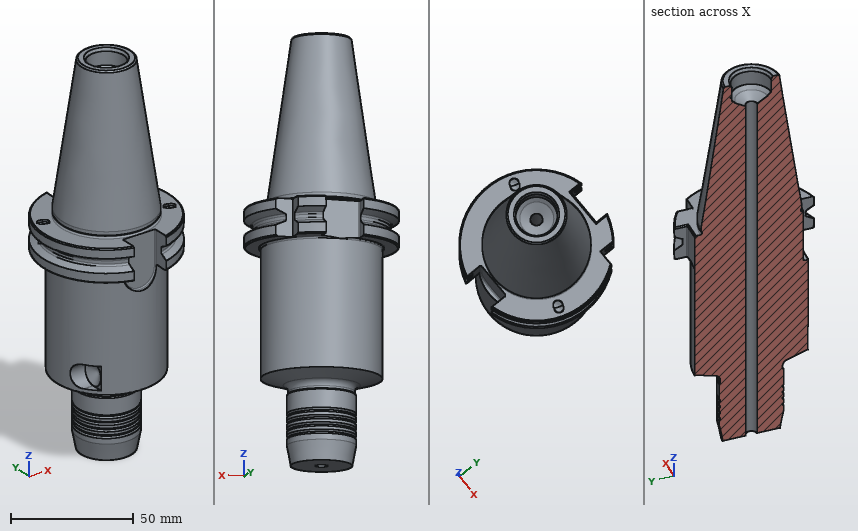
import cadquery as cq
import math

total_length = 178.2
gauge_z = 109.8
flange_top_z = 106.6
flange_bottom_z = 90.7
v_groove_z = 98.8
neck_top_z = 30.8
nose_collar_z = 29.2
nose_taper_z = 8.4

gauge_radius = 22.3
taper_slope = 7 / 48
taper_top_chamfer = 0.7
relief_top_z = 108.0
relief_depth = 0.5
relief_fillet = 0.7

flange_radius = 31.7
flange_chamfer = 0.5
groove_root_radius = 28.2
groove_half_width = 3.4
groove_flank_angle = math.radians(30)
groove_fillet = 1.0

body_radius = 25.0
body_fillet = 0.7
nose_radius = 14.3
shoulder_angle = math.radians(16.5)
neck_radius = 13.7
neck_fillet = 2.9
collar_step = nose_radius - neck_radius
nose_tip_radius = 12.7
ring_groove_count = 4
ring_groove_top_z = 21.5
ring_groove_pitch = 3.0
ring_groove_width = 1.7
ring_groove_depth = 0.5

slot_width = 16.2
front_slot_floor = 22.8
back_slot_floor = 25.0
slot_floor_fillet = 0.5
back_slot_chamfer = 0.5
slot_end_z = flange_bottom_z - 0.9
corner_notch = 18.5

recess_angle = 160.0
top_recess_radius = 2.0
top_recess_distances = (26.2, 27.5)
top_recess_depth = 1.0
groove_recess_radius = 1.8
groove_recess_floor = 26.7

pocket_y = -13.2
pocket_z = 43.7
pocket_radius = 5.5
pocket_floor_x = -16.2

bore_radius = 8.5
bore_depth = 7.8
bore_mouth_radius = 9.3
bore_mouth_depth = 1.5
drill_cone_radius = 7.0
through_radius = 2.5

drill_half_angle = math.radians(59)


def drill_tip(radius):
    """Height of the cone that a drill of this radius leaves."""
    return radius / math.tan(drill_half_angle)


def turned_body():
    """Solid of revolution: taper, flange, body and nose."""
    top_radius = gauge_radius - (total_length - gauge_z) * taper_slope
    chamfer_radius = top_radius + taper_top_chamfer * taper_slope
    rim = flange_radius - flange_chamfer
    shoulder_start_radius = neck_radius + neck_fillet * (1 - math.sin(shoulder_angle))
    shoulder_start_z = neck_top_z + neck_fillet * math.cos(shoulder_angle)
    body_bottom_z = shoulder_start_z + (body_radius - shoulder_start_radius) * math.tan(shoulder_angle)

    groove_depth = flange_radius - groove_root_radius
    root_half_width = groove_half_width - groove_depth * math.tan(groove_flank_angle)
    tangent_length = groove_fillet * math.tan((math.pi / 2 - groove_flank_angle) / 2)
    root_edge = root_half_width - tangent_length
    flank_edge = root_half_width + tangent_length * math.sin(groove_flank_angle)
    flank_radius = groove_root_radius + tangent_length * math.cos(groove_flank_angle)

    relief_radius = gauge_radius - relief_depth
    profile = (
        cq.Workplane("XZ")
        .moveTo(0, 0)
        .lineTo(nose_tip_radius, 0)
        .lineTo(nose_radius, nose_taper_z)
        .lineTo(nose_radius, nose_collar_z)
        .lineTo(neck_radius, nose_collar_z + collar_step)
        .lineTo(neck_radius, neck_top_z)
        .radiusArc((shoulder_start_radius, shoulder_start_z), neck_fillet)
        .lineTo(body_radius, body_bottom_z)
        .lineTo(body_radius, flange_bottom_z - body_fillet)
        .radiusArc((body_radius + body_fillet, flange_bottom_z), body_fillet)
        .lineTo(rim, flange_bottom_z)
        .lineTo(flange_radius, flange_bottom_z + flange_chamfer)
        .lineTo(flange_radius, v_groove_z - groove_half_width)
        .lineTo(flank_radius, v_groove_z - flank_edge)
        .radiusArc((groove_root_radius, v_groove_z - root_edge), groove_fillet)
        .lineTo(groove_root_radius, v_groove_z + root_edge)
        .radiusArc((flank_radius, v_groove_z + flank_edge), groove_fillet)
        .lineTo(flange_radius, v_groove_z + groove_half_width)
        .lineTo(flange_radius, flange_top_z - flange_chamfer)
        .lineTo(rim, flange_top_z)
        .lineTo(relief_radius + relief_fillet, flange_top_z)
        .radiusArc((relief_radius, flange_top_z + relief_fillet), relief_fillet)
        .lineTo(relief_radius, relief_top_z - relief_depth)
        .lineTo(gauge_radius, relief_top_z)
        .lineTo(gauge_radius, gauge_z)
        .lineTo(chamfer_radius, total_length - taper_top_chamfer)
        .lineTo(chamfer_radius - taper_top_chamfer, total_length)
        .lineTo(0, total_length)
        .close()
    )
    return profile.revolve(360, (0, 0, 0), (0, 1, 0))


def ring_grooves():
    """Shallow V grooves around the nose, as one list of cutters."""
    cutters = []
    for index in range(ring_groove_count):
        top = ring_groove_top_z - index * ring_groove_pitch
        cutters.append(
            cq.Workplane("XZ")
            .moveTo(nose_radius, top)
            .lineTo(nose_radius - ring_groove_depth, top - ring_groove_width / 2)
            .lineTo(nose_radius, top - ring_groove_width)
            .close()
            .revolve(360, (0, 0, 0), (0, 1, 0))
        )
    return cutters


def drive_slot(side, floor):
    """Round-ended slot open at the flange top; side is -1 for -Y and +1 for +Y."""
    height = flange_top_z - slot_end_z
    reach = flange_radius - floor
    middle_y = side * (floor + reach / 2)
    straight = cq.Workplane("XY").box(slot_width, reach, height).translate(
        (0, middle_y, slot_end_z + height / 2)
    )
    rounded = (
        cq.Workplane("XZ")
        .center(0, slot_end_z)
        .circle(slot_width / 2)
        .extrude(reach / 2, both=True)
        .translate((0, middle_y, 0))
    )
    floor_face = "<Y" if side > 0 else ">Y"
    return straight.union(rounded).faces(floor_face).edges("not >Z").fillet(slot_floor_fillet)


def back_slot_edge_chamfer():
    """Bevel along the top edges of the +Y slot."""
    reach = flange_radius - back_slot_floor
    return (
        cq.Workplane("XY", origin=(0, back_slot_floor + reach / 2, flange_top_z - back_slot_chamfer))
        .rect(slot_width, reach)
        .workplane(offset=back_slot_chamfer)
        .rect(slot_width + 2 * back_slot_chamfer, reach + 2 * back_slot_chamfer)
        .loft()
    )


def corner_cut():
    """Square notch through the flange at the +X +Y corner."""
    return (
        cq.Workplane("XY", origin=(corner_notch, corner_notch, flange_bottom_z))
        .rect(flange_radius, flange_radius, centered=False)
        .extrude(flange_top_z - flange_bottom_z)
    )


def top_recess(distance, angle):
    """Shallow drilled recess in the flange top."""
    floor_z = flange_top_z - top_recess_depth
    return (
        cq.Workplane("XZ")
        .moveTo(0, flange_top_z)
        .lineTo(top_recess_radius, flange_top_z)
        .lineTo(top_recess_radius, floor_z)
        .lineTo(0, floor_z - drill_tip(top_recess_radius))
        .close()
        .revolve(360, (0, 0, 0), (0, 1, 0))
        .translate((distance, 0, 0))
        .rotate((0, 0, 0), (0, 0, 1), angle)
    )


def groove_recess(angle):
    """Shallow recess drilled radially into the root of the gripper groove."""
    return (
        cq.Workplane("XY")
        .moveTo(flange_radius, 0)
        .lineTo(flange_radius, groove_recess_radius)
        .lineTo(groove_recess_floor, groove_recess_radius)
        .lineTo(groove_recess_floor - drill_tip(groove_recess_radius), 0)
        .close()
        .revolve(360, (0, 0, 0), (1, 0, 0))
        .translate((0, 0, v_groove_z))
        .rotate((0, 0, 0), (0, 0, 1), angle)
    )


def screw_pocket():
    """Hole drilled from -X, widened into a flat-floored slot that opens to -Y."""
    tip_x = pocket_floor_x + drill_tip(pocket_radius)
    drilled = (
        cq.Workplane("XY")
        .moveTo(-body_radius, 0)
        .lineTo(-body_radius, pocket_radius)
        .lineTo(pocket_floor_x, pocket_radius)
        .lineTo(tip_x, 0)
        .close()
        .revolve(360, (0, 0, 0), (1, 0, 0))
        .translate((0, pocket_y, pocket_z))
    )
    opening = (
        cq.Workplane("XY", origin=(-body_radius, -body_radius, pocket_z - pocket_radius))
        .rect(body_radius + pocket_floor_x, body_radius + pocket_y, centered=False)
        .extrude(2 * pocket_radius)
    )
    return drilled.union(opening)


def axial_bore():
    """Bore in the small end with a bevelled, coned floor and a passage to the nose."""
    wall_end_z = total_length - bore_depth
    cone_top_z = wall_end_z - (bore_radius - drill_cone_radius)
    cone_height = drill_tip(drill_cone_radius) - drill_tip(through_radius)
    return (
        cq.Workplane("XZ")
        .moveTo(0, 0)
        .lineTo(through_radius, 0)
        .lineTo(through_radius, cone_top_z - cone_height)
        .lineTo(drill_cone_radius, cone_top_z)
        .lineTo(bore_radius, wall_end_z)
        .lineTo(bore_radius, total_length - bore_mouth_depth)
        .lineTo(bore_mouth_radius, total_length)
        .lineTo(0, total_length)
        .close()
        .revolve(360, (0, 0, 0), (0, 1, 0))
    )


result = turned_body()
for groove in ring_grooves():
    result = result.cut(groove)
result = result.cut(drive_slot(-1, front_slot_floor))
result = result.cut(drive_slot(1, back_slot_floor))
result = result.cut(back_slot_edge_chamfer())
result = result.cut(corner_cut())
for angle in (recess_angle, recess_angle + 180):
    for distance in top_recess_distances:
        result = result.cut(top_recess(distance, angle))
    result = result.cut(groove_recess(angle))
result = result.cut(screw_pocket())
result = result.cut(axial_bore())